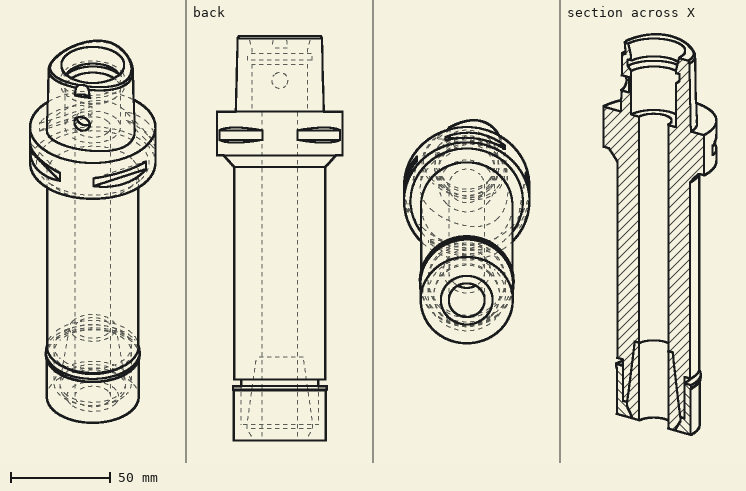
import math

import cadquery as cq


taper_length = 38.0
total_length = 203.0
bottom_z = taper_length - total_length

polygon_radius = 22.0
polygon_lobe = 1.4
outline_points = 36
taper_slope = 1 / 40
rim_chamfer_height = 1.4
rim_chamfer_width = 0.8

mouth_radius = 15.8
cavity_radius = 13.9
mouth_cone_depth = 7.0
groove_top_depth = 8.9
groove_radius = 16.1
groove_bottom_depth = 14.4
cavity_depth = taper_length

notch_top_radius = 4.4
notch_floor_radius = 4.95
notch_inner_y = -18.2
notch_depth = 6.2
side_hole_diameter = 8.0
side_hole_depth_from_top = 22.4
side_hole_floor_y = -15.5

flange_radius = 31.5
flange_height = 22.0
slot_floor_distance = 27.6
slot_floor_height = 4.7
slot_mouth_height = 7.6
slot_middle_z = -11.8
slot_angles = [45, 135, 225, 315]

shank_radius = 22.95
cone_top_radius = 28.2
cone_height = 5.8
spigot_radius = 19.4
spigot_gap = 3.2

nut_length = 27.3
nut_radius = 23.15
collar_radius = 23.6
collar_height = 1.7
collar_cone_height = 0.6
nut_top_z = bottom_z + nut_length
shank_bottom_z = nut_top_z + spigot_gap

through_radius = 9.0
collet_radius = 16.5
collet_seat_length = 34.0
collet_seat_angle = 8.0
collet_land_length = 2.0
nut_lip_height = 6.0
nut_lip_radius = 13.0
lip_top_z = bottom_z + nut_lip_height
spigot_bottom_z = lip_top_z + collet_land_length
collet_top_z = spigot_bottom_z + collet_seat_length
collet_top_radius = collet_radius - collet_seat_length * math.tan(math.radians(collet_seat_angle))


def revolve(points):
    """Turn a closed (radius, z) outline around the Z axis."""
    return cq.Workplane("XZ").polyline(points).close().revolve(360, (0, 0), (0, 1))


def cylinder(radius, low_z, high_z):
    return cq.Workplane("XY").workplane(offset=low_z).circle(radius).extrude(high_z - low_z)


def polygon_wire(z, inset):
    """Smooth closed three-lobed outline at height z, moved inward by the inset and started at -Y."""
    radius = polygon_radius - inset
    points = []
    for step in range(outline_points):
        angle = 2 * math.pi * step / outline_points - math.pi / 2
        x = radius * math.cos(angle) - polygon_lobe * math.sin(2 * angle)
        y = radius * math.sin(angle) - polygon_lobe * math.cos(2 * angle)
        points.append(cq.Vector(x, y, z))
    return cq.Wire.assembleEdges([cq.Edge.makeSpline(points, periodic=True)])


def make_taper():
    """Solid polygon taper with a chamfered rim."""
    chamfer_z = taper_length - rim_chamfer_height
    chamfer_inset = taper_slope * chamfer_z
    base = polygon_wire(0, 0)
    shoulder = polygon_wire(chamfer_z, chamfer_inset)
    rim = polygon_wire(taper_length, chamfer_inset + rim_chamfer_width)
    return cq.Workplane(cq.Solid.makeLoft([base, shoulder, rim], True))


def make_shank():
    """Flange, cone, shank and spigot."""
    return revolve([
        (0, 0),
        (flange_radius, 0),
        (flange_radius, -flange_height),
        (cone_top_radius, -flange_height),
        (shank_radius, -flange_height - cone_height),
        (shank_radius, shank_bottom_z),
        (spigot_radius, shank_bottom_z),
        (spigot_radius, spigot_bottom_z),
        (0, spigot_bottom_z),
    ])


def make_cavity():
    """Conical mouth, undercut groove with a 45-degree lower side, and plain bore."""
    groove_flank = groove_radius - cavity_radius
    return revolve([
        (0, taper_length),
        (mouth_radius, taper_length),
        (cavity_radius, taper_length - mouth_cone_depth),
        (cavity_radius, taper_length - groove_top_depth),
        (groove_radius, taper_length - groove_top_depth),
        (groove_radius, taper_length - groove_bottom_depth + groove_flank),
        (cavity_radius, taper_length - groove_bottom_depth),
        (cavity_radius, taper_length - cavity_depth),
        (0, taper_length - cavity_depth),
    ])


def make_notch():
    """Upright conical cut in the rim, widening toward its floor."""
    notch = revolve([
        (0, taper_length),
        (notch_top_radius, taper_length),
        (notch_floor_radius, taper_length - notch_depth),
        (0, taper_length - notch_depth),
    ])
    return notch.translate((0, notch_inner_y - notch_top_radius, 0))


def make_side_hole():
    """Flat-bottomed hole that enters the taper from -Y."""
    hole = cq.Workplane("XZ", origin=(0, side_hole_floor_y, taper_length - side_hole_depth_from_top))
    return hole.circle(side_hole_diameter / 2).extrude(flange_radius)


def make_gripper_slot(angle):
    """Straight slot across the flange edge, wider at its mouth than at its floor."""
    half_floor = slot_floor_height / 2
    half_mouth = slot_mouth_height / 2
    slot = (
        cq.Workplane("XZ")
        .polyline([
            (slot_floor_distance, -half_floor),
            (flange_radius, -half_mouth),
            (flange_radius, half_mouth),
            (slot_floor_distance, half_floor),
        ])
        .close()
        .extrude(flange_radius, both=True)
    )
    return slot.translate((0, 0, slot_middle_z)).rotate((0, 0, 0), (0, 0, 1), angle)


def make_collet_blank():
    """Outer form of the collet: long seat cone, short land and front cone."""
    return revolve([
        (0, collet_top_z),
        (collet_top_radius, collet_top_z),
        (collet_radius, spigot_bottom_z),
        (collet_radius, lip_top_z),
        (nut_lip_radius, bottom_z),
        (0, bottom_z),
    ])


def make_holder():
    body = make_taper().union(make_shank())
    body = body.cut(make_cavity()).cut(make_notch()).cut(make_side_hole())
    for angle in slot_angles:
        body = body.cut(make_gripper_slot(angle))
    through_bore = cylinder(through_radius, bottom_z, taper_length)
    return body.cut(through_bore).cut(make_collet_blank())


def make_nut():
    """Sleeve around the spigot with a collar on top and a conical lip that holds the collet."""
    outside = revolve([
        (0, nut_top_z),
        (collar_radius, nut_top_z),
        (collar_radius, nut_top_z - collar_height),
        (nut_radius, nut_top_z - collar_height - collar_cone_height),
        (nut_radius, bottom_z),
        (0, bottom_z),
    ])
    spigot_bore = cylinder(spigot_radius, spigot_bottom_z, nut_top_z)
    return outside.cut(spigot_bore).cut(make_collet_blank())


def make_collet():
    return make_collet_blank().cut(cylinder(through_radius, bottom_z, collet_top_z))


holder = make_holder()
nut = make_nut()
collet = make_collet()

result = cq.Compound.makeCompound([holder.val(), nut.val(), collet.val()])